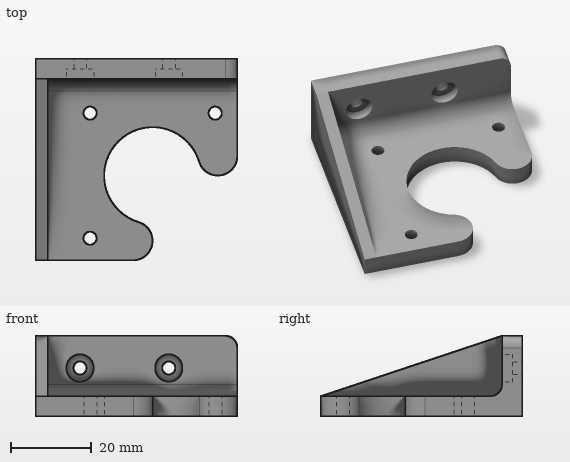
import cadquery as cq
import math

side = 50
height = 20

base_thickness = 5
back_thickness = 5
rib_thickness = 3
rib_front_height = 5
inner_fillet = 3
back_corner_radius = 3

motor_x = 29
motor_y = side - motor_x
opening_radius = 12
motor_hole_offset = 15.5
screw_diameter = 3.2

wall_hole_positions = (11, 33)
wall_hole_height = 12
counterbore_diameter = 6.8
counterbore_depth = 2.5

half_sum = motor_y + opening_radius
tip_radius = half_sum - math.sqrt(half_sum**2 - motor_y**2 + opening_radius**2)
tip_distance = opening_radius + tip_radius
tip_long = motor_y - tip_radius


def on_motor(along_x, along_y):
    """Point given relative to the motor axis."""
    return (motor_x + along_x, motor_y + along_y)


def make_base():
    touch_long = tip_long * opening_radius / tip_distance
    touch_short = tip_radius * opening_radius / tip_distance
    diagonal = opening_radius * math.sqrt(0.5)
    return (
        cq.Workplane("XY")
        .moveTo(0, 0)
        .lineTo(motor_x - tip_radius, 0)
        .threePointArc((motor_x, tip_radius), on_motor(-touch_short, -touch_long))
        .threePointArc(on_motor(-diagonal, diagonal), on_motor(touch_long, touch_short))
        .threePointArc((side - tip_radius, motor_y), (side, motor_y + tip_radius))
        .lineTo(side, side)
        .lineTo(0, side)
        .close()
        .extrude(base_thickness)
    )


def make_back_wall():
    return (
        cq.Workplane("XY")
        .box(side, back_thickness, height, centered=False)
        .translate((0, side - back_thickness, 0))
        .edges("|Y and >X and >Z")
        .fillet(back_corner_radius)
    )


def make_rib():
    return (
        cq.Workplane("YZ")
        .polyline([
            (0, 0),
            (side, 0),
            (side, height),
            (side - back_thickness, height),
            (0, rib_front_height),
        ])
        .close()
        .extrude(rib_thickness)
    )


def make_inner_fillet():
    """Concave strip in the corner between the base and the back wall."""
    wall_y = side - back_thickness
    arc_y = wall_y - inner_fillet
    arc_z = base_thickness + inner_fillet
    arc_reach = inner_fillet * math.sqrt(0.5)
    return (
        cq.Workplane("YZ")
        .moveTo(wall_y, base_thickness)
        .lineTo(arc_y, base_thickness)
        .threePointArc((arc_y + arc_reach, arc_z - arc_reach), (wall_y, arc_z))
        .close()
        .extrude(side)
    )


def make_motor_holes():
    offset = motor_hole_offset
    centers = [on_motor(-offset, -offset), on_motor(-offset, offset), on_motor(offset, offset)]
    return cq.Workplane("XY").pushPoints(centers).circle(screw_diameter / 2).extrude(base_thickness)


def make_wall_holes():
    centers = [(x, wall_hole_height) for x in wall_hole_positions]
    face = cq.Workplane("XZ", origin=(0, side - back_thickness, 0)).pushPoints(centers)
    bores = face.circle(screw_diameter / 2).extrude(-back_thickness)
    return bores.union(face.circle(counterbore_diameter / 2).extrude(-counterbore_depth))


result = (
    make_base()
    .union(make_back_wall())
    .union(make_rib())
    .union(make_inner_fillet())
    .cut(make_motor_holes())
    .cut(make_wall_holes())
)